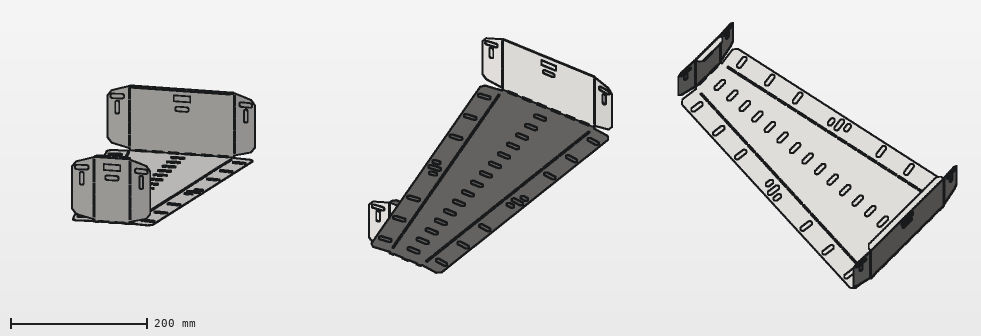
import cadquery as cq
import math

sheet = 1.0
proud = 0.2
wall_proud = 0.1
wall_span = 398.6
overall_height = 99.66
wall_top = overall_height - proud
taper = 7.5
fold_mid = 53.5
tan_taper = math.tan(math.radians(taper))
sin_taper = math.sin(math.radians(taper))
cos_taper = math.cos(math.radians(taper))
half_span = wall_span / 2
WIDE, NARROW = 1, -1

dash_length = 15
dash_width = 2
dash_pitch = 18
floor_dash_count = 21
wall_dash_count = 5
bend_slit_length = 15
bend_slit_pitch = 25
bend_slit_counts = {WIDE: 6, NARROW: 2}
bend_slit_depth = 2

flange_width = 32.7
wing_width = flange_width + dash_width / 2
strip_setback = 3.0
floor_corner = 5.5
wing_middle = 51.2
wing_root_height = 95.5
wing_corner_height = 80
wing_edge_height = 64
wing_corner_width = 27.5

lip_depth = 10
lip_chamfer = 5

slot_length = 20.5
slot_width = 7
centre_slot_count = 15
centre_slot_pitch = 25
flange_slot_offset = 18.2
flange_slot_stations = (-175, -125, -75, 0, 75, 125, 175)
short_slot_length = 13
short_slot_station = 12.5
short_slot_shift = 3
wing_slot_height = 82.5
upright_slot_length = 20
upright_slot_width = 6
upright_slot_height = 65.6
plate_length = 25
plate_width = 9
plate_height = 84.4
wall_slot_height = 68.5


def fold_x(y):
    """X of the right-hand side fold at a given Y."""
    return fold_mid + y * tan_taper


def slot_pad(plane, x, y, length, width, angle=0, lift=proud):
    """Round-ended pad through a sheet, standing out of both faces by the lift."""
    base = cq.Workplane(plane).workplane(offset=-lift)
    return base.center(x, y).slot2D(length, width, angle).extrude(sheet + 2 * lift)


def block_pad(plane, x, y, length, width, lift=proud):
    """Rectangular pad through a sheet, standing out of both faces by the lift."""
    base = cq.Workplane(plane).workplane(offset=-lift)
    return base.center(x, y).rect(length, width).extrude(sheet + 2 * lift)


def centred(count, pitch):
    """Evenly spaced positions about zero."""
    return [(i - (count - 1) / 2) * pitch for i in range(count)]


def side_plane():
    """Floor plane on the right-hand fold: x outward across the strip, y along the fold."""
    return cq.Plane((fold_mid, 0, 0), (cos_taper, -sin_taper, 0), (0, 0, 1))


def floor_strip():
    """Right-hand strip of the floor outside the fold, with its pads and fold ribs."""
    plane = side_plane()
    half = half_span / cos_taper - strip_setback
    edge = half - floor_corner
    strip = (
        cq.Workplane(plane)
        .polyline([
            (0, -half), (flange_width - floor_corner, -half), (flange_width, -edge),
            (flange_width, edge), (flange_width - floor_corner, half), (0, half),
        ])
        .close()
        .extrude(sheet)
    )
    for station in flange_slot_stations:
        strip = strip.union(slot_pad(plane, flange_slot_offset, station, slot_length, slot_width))
    for end in (WIDE, NARROW):
        x = flange_slot_offset + end * short_slot_shift
        strip = strip.union(slot_pad(plane, x, end * short_slot_station, short_slot_length, slot_width))
    for station in centred(floor_dash_count, dash_pitch):
        strip = strip.union(block_pad(plane, 0, station, dash_width, dash_length))
    return strip


def floor():
    """Tapered floor between the folds with its row of slot pads, joined to both side strips."""
    middle = (
        cq.Workplane("XY")
        .polyline([
            (-fold_x(-half_span), -half_span), (fold_x(-half_span), -half_span),
            (fold_x(half_span), half_span), (-fold_x(half_span), half_span),
        ])
        .close()
        .extrude(sheet)
    )
    for y in centred(centre_slot_count, centre_slot_pitch):
        middle = middle.union(slot_pad(cq.Plane.XY(), 0, y, slot_length, slot_width))
    strip = floor_strip()
    return middle.union(strip).union(strip.mirror("YZ"))


def wing(end):
    """Right-hand wing of one end wall, following the direction of the floor strip."""
    half_width = fold_x(end * half_span) - dash_width / 2
    back_y = max(end * half_span, end * (half_span - sheet))
    plane = cq.Plane(
        (half_width, back_y, wing_middle), (cos_taper, -sin_taper, 0), (-sin_taper, -cos_taper, 0)
    )
    root, corner, edge = wing_root_height / 2, wing_corner_height / 2, wing_edge_height / 2
    body = (
        cq.Workplane(plane)
        .polyline([
            (0, -root), (wing_corner_width, -corner), (wing_width, -edge),
            (wing_width, edge), (wing_corner_width, corner), (0, root),
        ])
        .close()
        .extrude(sheet)
    )
    pad_x = flange_slot_offset + dash_width / 2
    slot_y = wing_slot_height - wing_middle
    upright_y = upright_slot_height - wing_middle
    body = body.union(slot_pad(plane, pad_x, slot_y, slot_length, slot_width))
    body = body.union(
        slot_pad(plane, pad_x, upright_y, upright_slot_length, upright_slot_width, angle=90)
    )
    slits = (
        cq.Workplane(plane)
        .workplane(offset=-sheet)
        .pushPoints([(dash_width / 2, z) for z in centred(wall_dash_count, dash_pitch)])
        .rect(dash_width, dash_length)
        .extrude(3 * sheet)
    )
    return body.cut(slits)


def wall(end):
    """End wall with its lip, wings, pads and the slits along its bottom bend."""
    outer_y = end * half_span
    half_width = fold_x(outer_y) - dash_width / 2
    inward = -end
    body = (
        cq.Workplane("XY")
        .box(2 * half_width, sheet, wall_top, centered=(True, True, False))
        .translate((0, outer_y + inward * sheet / 2, 0))
    )
    lip_edge = outer_y + inward * lip_depth
    lip_shoulder = lip_edge - inward * lip_chamfer
    lip = (
        cq.Workplane("XY", origin=(0, 0, wall_top - sheet))
        .polyline([
            (-half_width, outer_y), (half_width, outer_y), (half_width, lip_shoulder),
            (half_width - lip_chamfer, lip_edge), (lip_chamfer - half_width, lip_edge),
            (-half_width, lip_shoulder),
        ])
        .close()
        .extrude(sheet)
    )
    face_y = max(outer_y, outer_y + inward * sheet)
    face = cq.Plane((0, face_y, 0), (1, 0, 0), (0, -1, 0))
    body = body.union(lip)
    body = body.union(block_pad(face, 0, plate_height, plate_length, plate_width, lift=wall_proud))
    body = body.union(slot_pad(face, 0, wall_slot_height, slot_length, slot_width, lift=wall_proud))
    right_wing = wing(end)
    return body.union(right_wing).union(right_wing.mirror("YZ"))


def bend_slits(end):
    """Cutters along the bend between the floor and one wall."""
    return (
        cq.Workplane("XY")
        .pushPoints([(x, end * half_span) for x in centred(bend_slit_counts[end], bend_slit_pitch)])
        .rect(bend_slit_length, 2 * bend_slit_depth)
        .extrude(bend_slit_depth)
    )


result = floor()
for end in (WIDE, NARROW):
    result = result.union(wall(end)).cut(bend_slits(end))